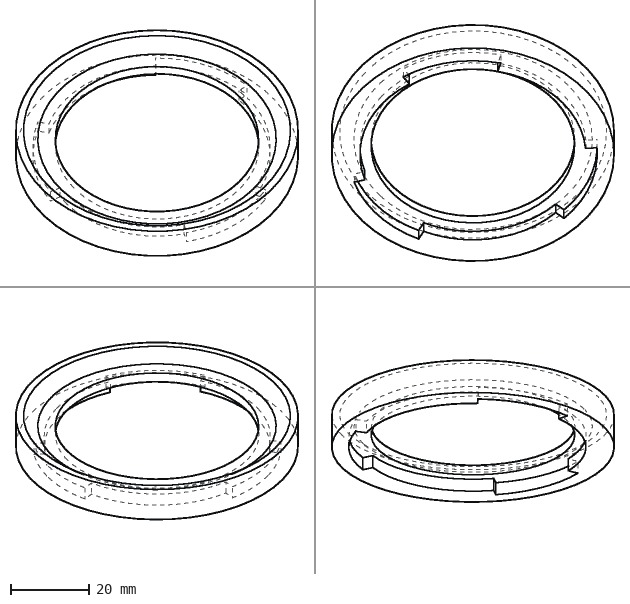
import cadquery as cq
import math

outer_diameter = 72.2
height = 9.0
bore_diameter = 52.0

recess_top_diameter = 68.2
recess_floor_diameter = 60.95
recess_depth = 3.0

flange_thickness = 2.7
socket_diameter = 63.5
lug_inner_diameter = 57.75
lug_count = 3
lug_span = 73.0
first_lug_end = 73.5

outer_radius = outer_diameter / 2
bore_radius = bore_diameter / 2
socket_radius = socket_diameter / 2
lug_inner_radius = lug_inner_diameter / 2
floor_z = height - recess_depth
socket_depth = floor_z - flange_thickness


def make_ring():
    """Revolve the half section: outer wall, conical recess, flange and socket."""
    return (
        cq.Workplane("XZ")
        .moveTo(socket_radius, 0)
        .lineTo(outer_radius, 0)
        .lineTo(outer_radius, height)
        .lineTo(recess_top_diameter / 2, height)
        .lineTo(recess_floor_diameter / 2, floor_z)
        .lineTo(bore_radius, floor_z)
        .lineTo(bore_radius, socket_depth)
        .lineTo(socket_radius, socket_depth)
        .close()
        .revolve(360, (0, 0, 0), (0, 1, 0))
    )


def polar(radius, degrees):
    angle = math.radians(degrees)
    return (radius * math.cos(angle), radius * math.sin(angle))


def make_lug(end_angle):
    """Arc-shaped lug filling the socket depth, rooted in the outer wall."""
    start_angle = end_angle - lug_span
    middle_angle = end_angle - lug_span / 2
    root_radius = (socket_radius + outer_radius) / 2
    return (
        cq.Workplane("XY")
        .moveTo(*polar(lug_inner_radius, start_angle))
        .lineTo(*polar(root_radius, start_angle))
        .threePointArc(polar(root_radius, middle_angle), polar(root_radius, end_angle))
        .lineTo(*polar(lug_inner_radius, end_angle))
        .threePointArc(
            polar(lug_inner_radius, middle_angle),
            polar(lug_inner_radius, start_angle),
        )
        .close()
        .extrude(socket_depth)
    )


result = make_ring()
for index in range(lug_count):
    result = result.union(make_lug(first_lug_end + index * 360 / lug_count))